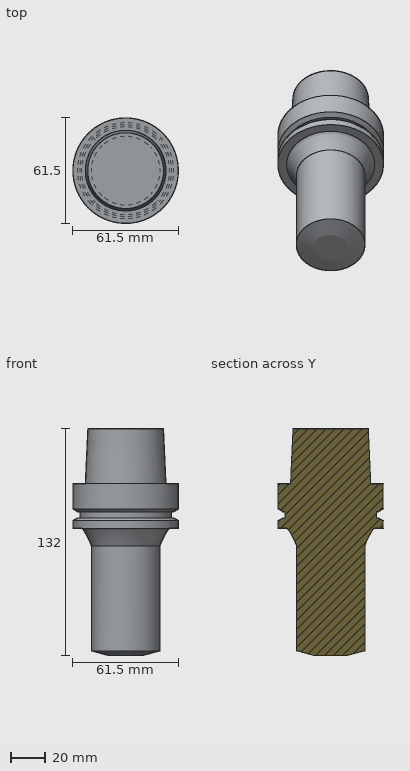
import cadquery as cq

total_length = 132.0
shank_radius = 40.0 / 2
tip_radius = 9.9
tip_height = 2.8

taper_length = 32.0
taper_top_radius = 22.0
taper_base_radius = 23.5

collar_radius = 61.5 / 2
groove_radius = 53.5 / 2
groove_flank_inner_radius = 28.0
upper_band_height = 14.8
groove_flank_height = 1.6
groove_floor_height = 3.5
lower_band_height = 4.5

neck_rim_radius = 25.6
neck_top_radius = 24.4
neck_rim_height = 1.2
neck_height = 9.0
neck_hollow = 0.3

collar_top_z = total_length - taper_length
upper_band_bottom_z = collar_top_z - upper_band_height
groove_top_z = upper_band_bottom_z - groove_flank_height
groove_bottom_z = groove_top_z - groove_floor_height
lower_band_top_z = groove_bottom_z - groove_flank_height
collar_bottom_z = lower_band_top_z - lower_band_height
neck_top_z = collar_bottom_z - neck_rim_height
neck_bottom_z = neck_top_z - neck_height

neck_middle = (
    (neck_top_radius + shank_radius) / 2 - neck_hollow,
    (neck_top_z + neck_bottom_z) / 2,
)

half_profile = (
    cq.Workplane("XZ")
    .moveTo(0, total_length)
    .lineTo(taper_top_radius, total_length)
    .lineTo(taper_base_radius, collar_top_z)
    .lineTo(collar_radius, collar_top_z)
    .lineTo(collar_radius, upper_band_bottom_z)
    .lineTo(groove_flank_inner_radius, groove_top_z)
    .lineTo(groove_radius, groove_top_z)
    .lineTo(groove_radius, groove_bottom_z)
    .lineTo(groove_flank_inner_radius, groove_bottom_z)
    .lineTo(collar_radius, lower_band_top_z)
    .lineTo(collar_radius, collar_bottom_z)
    .lineTo(neck_rim_radius, collar_bottom_z)
    .lineTo(neck_top_radius, neck_top_z)
    .threePointArc(neck_middle, (shank_radius, neck_bottom_z))
    .lineTo(shank_radius, tip_height)
    .lineTo(tip_radius, 0)
    .lineTo(0, 0)
    .close()
)

result = half_profile.revolve(360, (0, 0, 0), (0, 1, 0))